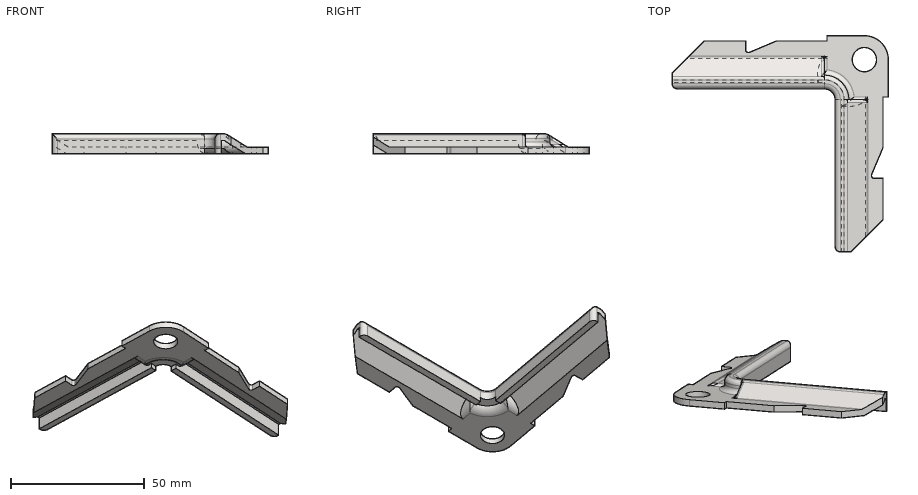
import cadquery as cq
import math


arm_length = 81.0
arm_width = 20.0
height = 7.5
sheet = 2.5

pad_length = 23.0
edge_setback = 2.0
pad_radius = 9.0
hole_diameter = 9.0
hole_inset = pad_radius

notch_wide_end = 42.0
notch_step = 53.4
notch_depth = 4.25
notch_slope = math.radians(23.0)
notch_fillet = 0.8

end_chamfer = 12.0
end_round = 2.0

ramp_foot = 7.9
ramp_angle = math.radians(32.0)
lip_round = 2.0
crest_round = 2.6
valley_round = 0.6
ramp_top = ramp_foot + (height - sheet) / math.tan(ramp_angle)

bend_center = 24.0
ramp_end_round = 1.0

bend_inner_radius = bend_center - arm_width
bend_wall_radius = 9.2
bend_crest_round = 1.8
bend_foot_round = 2.0

gap_height = 2.0
lip_inner_face = arm_width - sheet
ceiling = height - sheet
tunnel_crest = ramp_top + sheet * math.tan(ramp_angle / 2)
tunnel_foot = tunnel_crest - ceiling / math.tan(ramp_angle)


def mirror_to_other_arm(solid):
    """Reflect a solid across the diagonal plane X = Y."""
    return solid.mirror(cq.Vector(1, -1, 0), (0, 0, 0))


def both_arms(solid):
    return solid.union(mirror_to_other_arm(solid))


def arm_prism(profile, start, end):
    """Extrude an (across, height) profile along the X arm."""
    points = [(-across, z) for across, z in profile]
    return cq.Workplane("YZ").workplane(offset=-end).polyline(points).close().extrude(end - start)


def arm_plan():
    """Full-height plan of the X arm, with its end cuts, notch and rounded end corner."""
    outline = [
        (-pad_length, -edge_setback),
        (-(arm_length - end_chamfer), -edge_setback),
        (-arm_length, -edge_setback - end_chamfer),
        (-arm_length, -arm_width),
        (-bend_center, -arm_width),
        (-bend_center, -bend_center),
        (-pad_length, -bend_center),
    ]
    plan = cq.Workplane("XY").polyline(outline).close().extrude(height)
    end_corner = cq.NearestToPointSelector((-arm_length, -arm_width, height / 2))
    plan = plan.edges(end_corner).fillet(end_round)
    return plan.cut(notch())


def notch():
    """Notch with a square step, a flat-sloped side and a rounded bottom."""
    slope_run = notch_depth / math.tan(notch_slope)
    floor = -edge_setback - notch_depth
    floor_end = -notch_wide_end - slope_run
    outline = [
        (-notch_wide_end, -edge_setback),
        (floor_end, floor),
        (-notch_step, floor),
        (-notch_step, -edge_setback),
    ]
    cutter = cq.Workplane("XY").polyline(outline).close().extrude(height)
    for corner_x in (floor_end, -notch_step):
        corner = cq.NearestToPointSelector((corner_x, floor, height / 2))
        cutter = cutter.edges(corner).fillet(notch_fillet)
    return cutter


def bracket_plan():
    """Full-height plan of the whole bracket."""
    pad = cq.Workplane("XY").rect(-pad_length, -pad_length, centered=False).extrude(height)
    pad = pad.edges("|Z and >X and >Y").fillet(pad_radius)
    inner_corner = bend_cylinder(bend_inner_radius, height)
    return both_arms(arm_plan()).union(pad).cut(inner_corner)


def bend_cylinder(radius, depth):
    """Cylinder about the bend axis, standing on the base plane."""
    return cq.Workplane("XY").center(-bend_center, -bend_center).circle(radius).extrude(depth)


def raised_arm():
    """Ramp and lip of the X arm as a solid prism, with its rounded bends and ramp end."""
    profile = [
        (edge_setback, 0),
        (edge_setback, sheet),
        (ramp_foot, sheet),
        (ramp_top, height),
        (arm_width, height),
        (arm_width, 0),
    ]
    prism = arm_prism(profile, bend_center, arm_length)
    middle = -(bend_center + arm_length) / 2
    bends = [
        (arm_width, height, lip_round),
        (ramp_top, height, crest_round),
        (ramp_foot, sheet, valley_round),
    ]
    for across, z, radius in bends:
        prism = prism.edges(cq.NearestToPointSelector((middle, -across, z))).fillet(radius)
    return prism.cut(ramp_end_cutter()).union(ramp_end_foot())


def ramp_end_cutter():
    """Tool that rounds the upper edge of the ramp end; it follows the ramp slope."""
    ramp_plane = cq.Plane(
        origin=(-bend_center, -ramp_foot, sheet),
        xDir=(1, 0, 0),
        normal=(0, -math.cos(ramp_angle), math.sin(ramp_angle)),
    )
    slope_length = math.hypot(ramp_top - ramp_foot, height - sheet)
    flat_length = slope_length - crest_round * math.tan(ramp_angle / 2)
    r = ramp_end_round
    corner = cq.Workplane(ramp_plane).rect(-r, -r, centered=False).extrude(flat_length)
    rounding = cq.Workplane(ramp_plane).center(-r, -r).circle(r).extrude(flat_length)
    return corner.cut(rounding)


def ramp_end_foot():
    """Concave foot between the ramp end and the pad, limited by the ramp slope."""
    r = ramp_end_round
    wall = bend_center - bend_wall_radius
    wall_height = (wall - ramp_foot) * math.tan(ramp_angle)
    slope_wedge = arm_prism(
        [(ramp_foot, sheet), (wall, sheet), (wall, sheet + wall_height)], bend_center - r, bend_center
    )
    mid_offset = r * (1 - math.sqrt(0.5))
    foot = (
        cq.Workplane("XZ").moveTo(-bend_center, sheet).lineTo(-bend_center, sheet + r)
        .threePointArc((-bend_center + mid_offset, sheet + mid_offset), (-bend_center + r, sheet))
        .close().extrude(bend_center)
    )
    return slope_wedge.intersect(foot)


def raised_bend():
    """Quarter-turn lip and wall joining the two arms around the bend axis."""
    crest_radius = bend_wall_radius - bend_crest_round
    foot_radius = bend_wall_radius + bend_foot_round
    wall_top = height - bend_crest_round
    wall_bottom = sheet + bend_foot_round
    section = (
        cq.Workplane("XZ").moveTo(bend_inner_radius, 0)
        .lineTo(bend_inner_radius, height - lip_round)
        .radiusArc((bend_inner_radius + lip_round, height), lip_round)
        .lineTo(crest_radius, height)
        .radiusArc((bend_wall_radius, wall_top), bend_crest_round)
        .lineTo(bend_wall_radius, wall_bottom)
        .radiusArc((foot_radius, sheet), -bend_foot_round)
        .lineTo(foot_radius, 0)
        .close()
    )
    return section.revolve(90, (0, 0), (0, 1)).translate((-bend_center, -bend_center, 0))


def arm_tunnel():
    """Hollow under the X arm's ramp; its closed end flares out, parallel to the ramp end foot."""
    foot_start = bend_center - ramp_end_round
    flare = ramp_end_round + sheet
    profile = [(lip_inner_face, 0), (lip_inner_face, ceiling), (tunnel_crest, ceiling), (tunnel_foot, 0)]
    tunnel = arm_prism(profile, foot_start, arm_length)
    flare_body = cq.Workplane("XZ").center(-foot_start, flare).circle(flare).extrude(arm_width)
    wall_plane = cq.Workplane("XZ").center(-foot_start, flare)
    wall_body = wall_plane.rect(-flare, height, centered=False).extrude(arm_width)
    return tunnel.cut(flare_body).cut(wall_body)


def gap_section(workplane):
    """Section of the corner gap from the bend axis to the flare parallel to the bend foot."""
    foot_radius = bend_wall_radius + bend_foot_round
    flare = bend_foot_round + sheet
    throat_radius = foot_radius - math.sqrt(flare**2 - (flare - gap_height) ** 2)
    return (
        workplane.lineTo(foot_radius, 0)
        .radiusArc((throat_radius, gap_height), flare)
        .lineTo(0, gap_height)
        .close()
    )


def corner_gap():
    """Opening under the corner lip, turned about the bend axis."""
    gap = gap_section(cq.Workplane("XZ")).revolve(90, (0, 0), (0, 1))
    return gap.translate((-bend_center, -bend_center, 0))


def gap_link():
    """Straight continuation of the corner gap into the X arm tunnel, behind the lip."""
    link = gap_section(cq.Workplane("YZ")).extrude(-sheet).translate((-bend_center, -bend_center, 0))
    lip = cq.Workplane("XY").box(arm_length, bend_center, height, centered=False)
    return link.cut(lip.translate((-arm_length, -lip_inner_face - bend_center, 0)))


def hole():
    return cq.Workplane("XY").center(-hole_inset, -hole_inset).circle(hole_diameter / 2).extrude(sheet)


def pad_and_flanges(plan):
    """Flat sheet of the bracket, left open where the raised bend stands."""
    sheet_block = cq.Workplane("XY").rect(-arm_length, -arm_length, centered=False).extrude(sheet)
    return plan.intersect(sheet_block).cut(bend_cylinder(bend_wall_radius, sheet))


plan = bracket_plan()
raised = both_arms(raised_arm()).intersect(plan)
hollow = both_arms(arm_tunnel().union(gap_link())).union(corner_gap())

result = pad_and_flanges(plan).union(raised).union(raised_bend()).clean().cut(hollow).cut(hole())